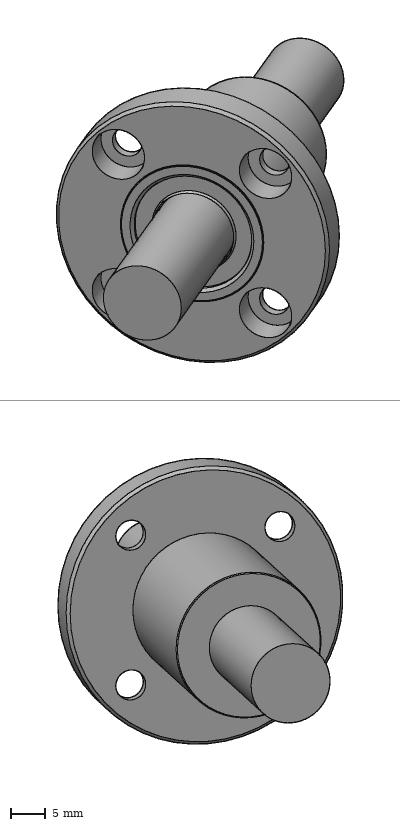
import cadquery as cq
import math

total_length = 82.0
shaft_overhang = 25.0
front_y = -total_length / 2 + shaft_overhang
rear_y = total_length / 2 - shaft_overhang

shaft_diameter = 12.0
sleeve_diameter = 22.0
sleeve_chamfer = 0.2

flange_diameter = 42.0
flange_thickness = 6.0
flange_chamfer = 0.5

hole_circle_diameter = 32.0
hole_diameter = 4.5
counterbore_diameter = 8.0
counterbore_depth = 4.4

seal_diameter = 18.0
recess_depth = 1.0
recess_chamfer = 0.5
lip_diameter = 12.95
lip_height = 0.4
lip_bore_diameter = 12.5
lip_bore_depth = 1.6


def disc(diameter, start_y, end_y):
    """Round bar on the Y axis from start_y to end_y."""
    plane = cq.Workplane("XZ", origin=(0, start_y, 0))
    return plane.circle(diameter / 2).extrude(start_y - end_y)


def ring_of_revolution(points):
    """Revolve a closed (radius, y) outline about the Y axis."""
    return cq.Workplane("XY").polyline(points).close().revolve(360, (0, 0, 0), (0, 1, 0))


def make_flange():
    flange_rear_y = front_y + flange_thickness
    return disc(flange_diameter, front_y, flange_rear_y).faces("|Y").chamfer(flange_chamfer)


def make_sleeve():
    return disc(sleeve_diameter, front_y, rear_y).faces(">Y").chamfer(sleeve_chamfer)


def make_joint_groove():
    """Notch where the chamfered front edge of the sleeve meets the flange bore."""
    radius = sleeve_diameter / 2
    return ring_of_revolution([
        (radius - sleeve_chamfer, front_y),
        (radius, front_y),
        (radius, front_y + sleeve_chamfer),
    ])


def make_seal_recess():
    """Round recess with a chamfered mouth, leaving a sharp lip around a central bore."""
    bore_radius = lip_bore_diameter / 2
    lip_radius = lip_diameter / 2
    seal_radius = seal_diameter / 2
    floor_y = front_y + recess_depth
    bore_floor_y = front_y + lip_bore_depth
    return ring_of_revolution([
        (0, front_y),
        (seal_radius + recess_chamfer, front_y),
        (seal_radius, front_y + recess_chamfer),
        (seal_radius, floor_y),
        (lip_radius, floor_y),
        (bore_radius, floor_y - lip_height),
        (bore_radius, bore_floor_y),
        (0, bore_floor_y),
    ])


def cut_mounting_holes(body):
    """Cut the four counterbored holes, entered from the front face."""
    half_spacing = hole_circle_diameter / 2 / math.sqrt(2)
    for x in (-half_spacing, half_spacing):
        for z in (-half_spacing, half_spacing):
            hole = disc(hole_diameter, front_y, front_y + flange_thickness)
            counterbore = disc(counterbore_diameter, front_y, front_y + counterbore_depth)
            body = body.cut(hole.union(counterbore).translate((x, 0, z)))
    return body


bearing = make_flange().union(make_sleeve())
bearing = bearing.cut(make_joint_groove()).cut(make_seal_recess())
bearing = cut_mounting_holes(bearing)

shaft = disc(shaft_diameter, -total_length / 2, total_length / 2)
result = bearing.union(shaft)